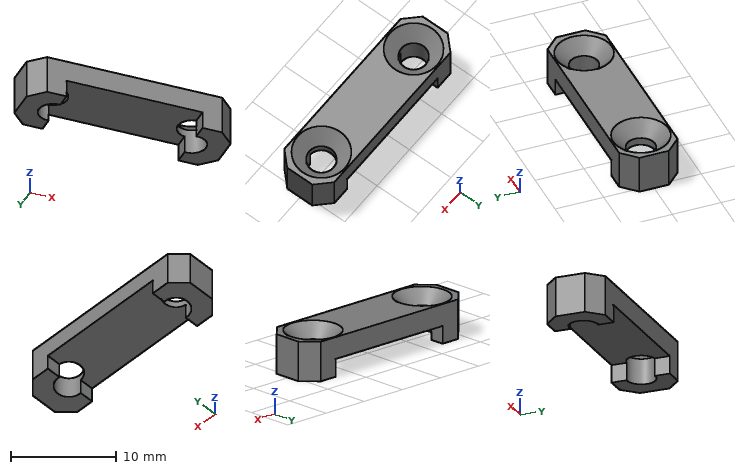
import cadquery as cq

length = 21
width = 6.0
height = 4
corner_chamfer = 1.5

channel_length = 13.99
channel_depth = 1.78

hole_spacing = 14.3
hole_diameter = 2.9
countersink_diameter = 5.7
countersink_angle = 90

bar = (
    cq.Workplane("XY")
    .box(length, width, height, centered=(True, True, False))
    .edges("|Z")
    .chamfer(corner_chamfer)
)

channel = cq.Workplane("XY").box(channel_length, width, channel_depth, centered=(True, True, False))
bridge = bar.cut(channel)

result = (
    bridge.faces(">Z")
    .workplane(origin=(0, 0, height))
    .pushPoints([(-hole_spacing / 2, 0), (hole_spacing / 2, 0)])
    .cskHole(hole_diameter, countersink_diameter, countersink_angle)
)